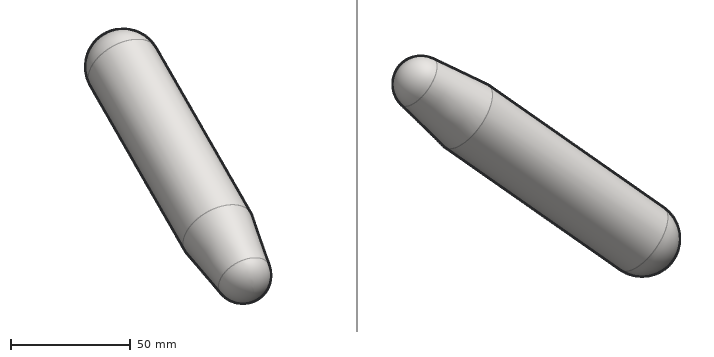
import cadquery as cq
import math

overall_length = 154.0
body_diameter = 32.0
body_length = 100.0
nose_diameter = 24.0

body_radius = body_diameter / 2
nose_radius = nose_diameter / 2
tail_tip_x = -body_radius
nose_tip_x = tail_tip_x + overall_length
nose_center_x = nose_tip_x - nose_radius

edge_distance = math.hypot(nose_center_x - body_length, body_radius)
edge_angle = math.atan2(body_radius, body_length - nose_center_x)
tangent_angle = edge_angle - math.acos(nose_radius / edge_distance)

tail_middle_angle = math.radians(135)


def circle_point(center_x, radius, angle):
    """Point on a circle centred on the X axis, at an angle from +X."""
    return (center_x + radius * math.cos(angle), radius * math.sin(angle))


def half_profile():
    """Half section in the XZ plane, from the tail tip to the nose tip."""
    tail_middle = circle_point(0, body_radius, tail_middle_angle)
    taper_end = circle_point(nose_center_x, nose_radius, tangent_angle)
    nose_middle = circle_point(nose_center_x, nose_radius, tangent_angle / 2)
    return (
        cq.Workplane("XZ")
        .moveTo(tail_tip_x, 0)
        .threePointArc(tail_middle, (0, body_radius))
        .lineTo(body_length, body_radius)
        .lineTo(*taper_end)
        .threePointArc(nose_middle, (nose_tip_x, 0))
        .close()
    )


result = half_profile().revolve(360, (0, 0, 0), (1, 0, 0))